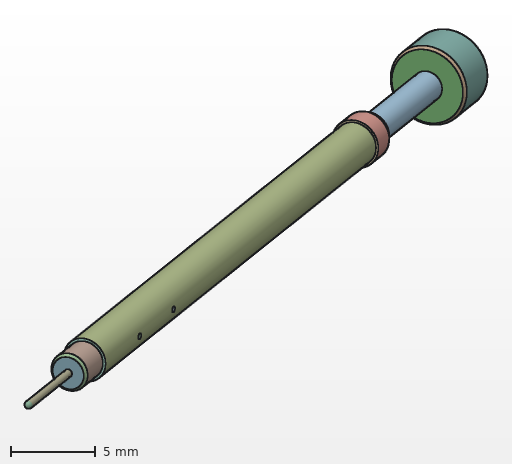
import cadquery as cq
import math

total_length = 57.9

head_diameter = 5.0
head_length = 3.0
head_chamfer = 0.2
stem_diameter = 1.9
stem_length = 8.0

collar_diameter = 3.0
collar_length = 1.9
collar_chamfer_length = 0.4
collar_chamfer_depth = 0.2
barrel_diameter = 2.7
barrel_length = 37.05

tail_diameter = 2.4
tail_length = 2.25
tail_chamfer = 0.2
pin_diameter = 0.5

dimple_diameter = 0.4
dimple_sphere_radius = 0.4
dimple_offsets = (4.7, 9.3)

head_underside = total_length - head_length
collar_top = head_underside - stem_length
collar_bottom = collar_top - collar_length
barrel_bottom = collar_bottom - barrel_length
tail_bottom = barrel_bottom - tail_length

head_radius = head_diameter / 2
stem_radius = stem_diameter / 2
collar_radius = collar_diameter / 2
barrel_radius = barrel_diameter / 2
tail_radius = tail_diameter / 2
pin_radius = pin_diameter / 2


def turned_body():
    """Revolve the half outline (radius, station) about the Y axis."""
    pin_tip_middle = (pin_radius * math.sin(math.pi / 4), pin_radius * (1 - math.cos(math.pi / 4)))
    outline_above_pin_tip = [
        (pin_radius, tail_bottom),
        (tail_radius - tail_chamfer, tail_bottom),
        (tail_radius, tail_bottom + tail_chamfer),
        (tail_radius, barrel_bottom),
        (barrel_radius, barrel_bottom),
        (barrel_radius, collar_bottom),
        (collar_radius, collar_bottom),
        (collar_radius, collar_top - collar_chamfer_length),
        (collar_radius - collar_chamfer_depth, collar_top),
        (stem_radius, collar_top),
        (stem_radius, head_underside),
        (head_radius - head_chamfer, head_underside),
        (head_radius, head_underside + head_chamfer),
        (head_radius, total_length),
        (0, total_length),
    ]
    return (
        cq.Workplane("XY")
        .moveTo(0, 0)
        .threePointArc(pin_tip_middle, (pin_radius, pin_radius))
        .polyline(outline_above_pin_tip, includeCurrent=True)
        .close()
        .revolve(360, (0, 0, 0), (0, 1, 0))
    )


def side_dimples(side):
    """Balls that press the dimples into one side of the barrel; side is -1 for -X and 1 for +X."""
    ball_height = math.sqrt(dimple_sphere_radius**2 - (dimple_diameter / 2) ** 2)
    stations = [(barrel_bottom + offset, 0) for offset in dimple_offsets]
    return (
        cq.Workplane("YZ", origin=(side * (barrel_radius + ball_height), 0, 0))
        .pushPoints(stations)
        .sphere(dimple_sphere_radius)
    )


result = turned_body()
for side in (-1, 1):
    result = result.cut(side_dimples(side))